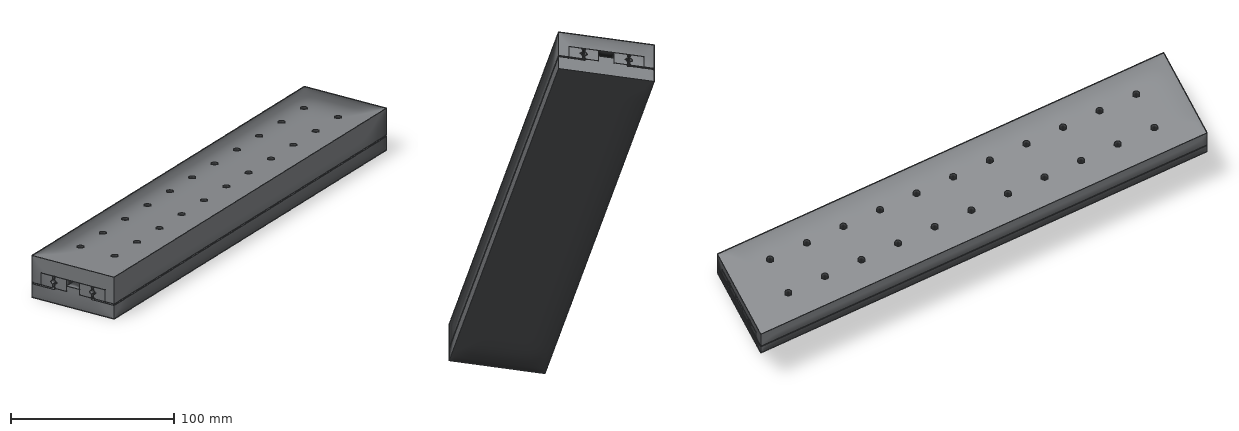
import cadquery as cq

LENGTH = 305.0
WIDTH = 60.0
HEIGHT = 28.0

RAIL_HEIGHT = 8.0
RAIL_WIDTH = 8.5
RAIL_GAP = 1.5
GROOVE_DEPTH = 1.5
GROOVE_HALF_HEIGHT = GROOVE_DEPTH
RAIL_CHAMFER = 0.5

RIB_WIDTH = 9.8
RIB_HEIGHT = 3.7
LEDGE_Z = 10.0
BASE_GAP = 1.0
BASE_TOP_Z = LEDGE_Z - BASE_GAP

RIB_SIDE = RIB_WIDTH / 2
INNER_RAIL_FACE = RIB_SIDE + RAIL_WIDTH
OUTER_RAIL_FACE = INNER_RAIL_FACE + RAIL_GAP
CHANNEL_SIDE = OUTER_RAIL_FACE + RAIL_WIDTH

TABLE_BOTTOM_Z = LEDGE_Z
CHANNEL_TOP_Z = LEDGE_Z + RAIL_HEIGHT

HOLE_DIAMETER = 4.3
HOLE_PITCH = 25.0
HOLE_ROWS = 11
HOLE_COLUMNS = 2


def bar(x_min, x_max, z_min, z_max):
    """Full-length rectangular bar, centred on Y = 0."""
    return (
        cq.Workplane("XY")
        .box(x_max - x_min, LENGTH, z_max - z_min, centered=(False, True, False))
        .translate((x_min, 0, z_min))
    )


def make_base():
    """Base plate with a raised ledge for the inner rails and a rib between them."""
    plate = bar(-WIDTH / 2, WIDTH / 2, 0, BASE_TOP_Z)
    ledge = bar(-INNER_RAIL_FACE, INNER_RAIL_FACE, BASE_TOP_Z, LEDGE_Z)
    rib = bar(-RIB_SIDE, RIB_SIDE, LEDGE_Z, LEDGE_Z + RIB_HEIGHT)
    return plate.union(ledge).union(rib)


def make_table():
    """Table with a channel for the rails underneath and a grid of through holes."""
    block = bar(-WIDTH / 2, WIDTH / 2, TABLE_BOTTOM_Z, HEIGHT)
    channel = bar(-CHANNEL_SIDE, CHANNEL_SIDE, TABLE_BOTTOM_Z, CHANNEL_TOP_Z)
    return (
        block.cut(channel)
        .faces(">Z")
        .workplane(origin=(0, 0, HEIGHT))
        .rarray(HOLE_PITCH, HOLE_PITCH, HOLE_COLUMNS, HOLE_ROWS)
        .hole(HOLE_DIAMETER)
    )


def make_rail(face_x, back_x):
    """Rail with its grooved, chamfered side at face_x and its plain side at back_x."""
    toward_back = 1 if back_x > face_x else -1
    chamfer_x = face_x + toward_back * RAIL_CHAMFER
    groove_x = face_x + toward_back * GROOVE_DEPTH
    groove_z = LEDGE_Z + RAIL_HEIGHT / 2
    profile = [
        (back_x, LEDGE_Z),
        (chamfer_x, LEDGE_Z),
        (face_x, LEDGE_Z + RAIL_CHAMFER),
        (face_x, groove_z - GROOVE_HALF_HEIGHT),
        (groove_x, groove_z),
        (face_x, groove_z + GROOVE_HALF_HEIGHT),
        (face_x, CHANNEL_TOP_Z - RAIL_CHAMFER),
        (chamfer_x, CHANNEL_TOP_Z),
        (back_x, CHANNEL_TOP_Z),
    ]
    return cq.Workplane("XZ").polyline(profile).close().extrude(LENGTH / 2, both=True)


base = make_base()
table = make_table()

rails = []
for side in (-1, 1):
    inner_rail = make_rail(side * INNER_RAIL_FACE, side * RIB_SIDE)
    outer_rail = make_rail(side * OUTER_RAIL_FACE, side * CHANNEL_SIDE)
    rails += [inner_rail.val(), outer_rail.val()]

result = cq.Compound.makeCompound([base.val(), table.val(), *rails])